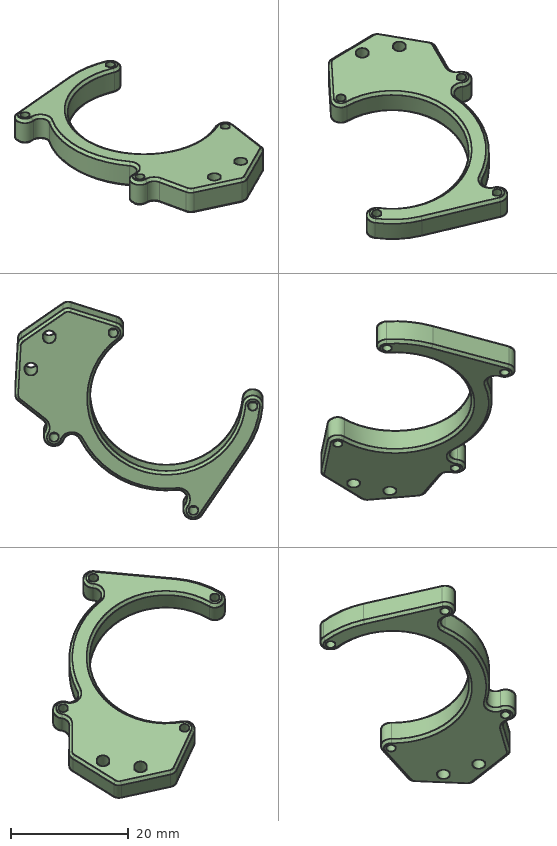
import cadquery as cq
import math

thickness = 4.95
edge_chamfer = 0.5

bore_radius = 12.97
ring_radius = 16.45
mid_radius = (bore_radius + ring_radius) / 2

lug_radius = (ring_radius - bore_radius) / 2
lug_hole_diameter = 1.6
lug_x = 13.5
lug_spacing_y = 21.0
upper_lug_y = math.sqrt(mid_radius**2 - lug_x**2)
lower_lug_y = upper_lug_y - lug_spacing_y
neck_fillet = 1.5

plate_hole_diameter = 2.2
plate_hole_x = 22.7
plate_hole_spacing = 6.5
plate_mid_y = -plate_hole_spacing / 2
shoulder_x = 22.55
shoulder_half_height = 9.15
tip_x = 43.25 - ring_radius
corner_radius = 1.5

upper_left = (-lug_x, upper_lug_y)
upper_right = (lug_x, upper_lug_y)
lower_left = (-lug_x, lower_lug_y)
lower_right = (lug_x, lower_lug_y)
upper_shoulder = (shoulder_x, plate_mid_y + shoulder_half_height)
lower_shoulder = (shoulder_x, plate_mid_y - shoulder_half_height)


def polar(center, radius, angle):
    """Point on a circle at an angle in radians."""
    return (center[0] + radius * math.cos(angle), center[1] + radius * math.sin(angle))


def direction(start, end):
    """Angle of the line from start to end."""
    return math.atan2(end[1] - start[1], end[0] - start[0])


def toward(start, end, distance):
    """Point at a distance from start along the line to end."""
    return polar(start, distance, direction(start, end))


tip_center = (tip_x - corner_radius, plate_mid_y)
tip_swing = math.acos(corner_radius / math.dist(tip_center, upper_shoulder))
tip_normal = direction(tip_center, upper_shoulder) - tip_swing
tip = (tip_center[0] + corner_radius / math.cos(tip_normal), plate_mid_y)

shoulder_distance = math.dist(upper_right, upper_shoulder)
top_normal = direction(upper_right, upper_shoulder) + math.acos(lug_radius / shoulder_distance)
top_tangent = polar(upper_right, lug_radius, top_normal)
bottom_normal = -top_normal

lug_distance = math.hypot(*lower_left)
flank_normal = direction((0, 0), lower_left) - math.acos((ring_radius - lug_radius) / lug_distance)
flank_ring = polar((0, 0), ring_radius, flank_normal)
flank_lug = polar(lower_left, lug_radius, flank_normal)

ring_reach = ring_radius + neck_fillet
lug_reach = lug_radius + neck_fillet
neck_swing = math.acos((ring_reach**2 + lug_distance**2 - lug_reach**2) / (2 * ring_reach * lug_distance))
left_neck = polar((0, 0), ring_reach, direction((0, 0), lower_left) + neck_swing)
right_neck = (-left_neck[0], left_neck[1])

lug_to_edge = (
    (lower_shoulder[0] - lug_x) * math.cos(bottom_normal)
    + (lower_shoulder[1] - lower_lug_y) * math.sin(bottom_normal)
)
plate_neck = polar(lower_right, lug_reach, bottom_normal + math.acos((lug_to_edge + neck_fillet) / lug_reach))
plate_neck_end = polar(plate_neck, -neck_fillet, bottom_normal)


def arc_to(outline, center, radius, end, clockwise=False):
    """Continue the outline to end along a circle about center."""
    start_angle = direction(center, outline.val().endPoint().toTuple())
    sweep = (direction(center, end) - start_angle) % math.tau
    if clockwise:
        sweep -= math.tau
    return outline.threePointArc(polar(center, radius, start_angle + sweep / 2), end)


def make_outline():
    """Closed outline, traced counter-clockwise from the left flank."""
    outline = cq.Workplane("XY").moveTo(*flank_ring)
    outline = outline.lineTo(*flank_lug)
    outline = arc_to(outline, lower_left, lug_radius, toward(lower_left, left_neck, lug_radius))
    outline = arc_to(outline, left_neck, neck_fillet, toward(left_neck, (0, 0), neck_fillet), True)
    outline = arc_to(outline, (0, 0), ring_radius, toward((0, 0), right_neck, ring_radius))
    outline = arc_to(outline, right_neck, neck_fillet, toward(right_neck, lower_right, neck_fillet), True)
    outline = arc_to(outline, lower_right, lug_radius, toward(lower_right, plate_neck, lug_radius))
    outline = arc_to(outline, plate_neck, neck_fillet, plate_neck_end, True)
    outline = outline.lineTo(*lower_shoulder).lineTo(*tip).lineTo(*upper_shoulder).lineTo(*top_tangent)
    outline = arc_to(outline, upper_right, lug_radius, toward((0, 0), upper_right, bore_radius))
    outline = arc_to(outline, (0, 0), bore_radius, toward((0, 0), upper_left, bore_radius), True)
    outline = arc_to(outline, upper_left, lug_radius, toward((0, 0), upper_left, ring_radius))
    outline = arc_to(outline, (0, 0), ring_radius, flank_ring)
    return outline.close()


body = make_outline().extrude(thickness)

for corner in (lower_shoulder, tip, upper_shoulder):
    nearest_edge = cq.selectors.NearestToPointSelector((*corner, thickness / 2))
    body = body.edges("|Z").edges(nearest_edge).fillet(corner_radius)
body = body.faces("<Z or >Z").edges().chamfer(edge_chamfer)

lug_holes = [upper_left, upper_right, lower_left, lower_right]
plate_holes = [(plate_hole_x, plate_mid_y + side * plate_hole_spacing / 2) for side in (-1, 1)]
for points, diameter in ((lug_holes, lug_hole_diameter), (plate_holes, plate_hole_diameter)):
    body = body.cut(cq.Workplane("XY").pushPoints(points).circle(diameter / 2).extrude(thickness))

result = body